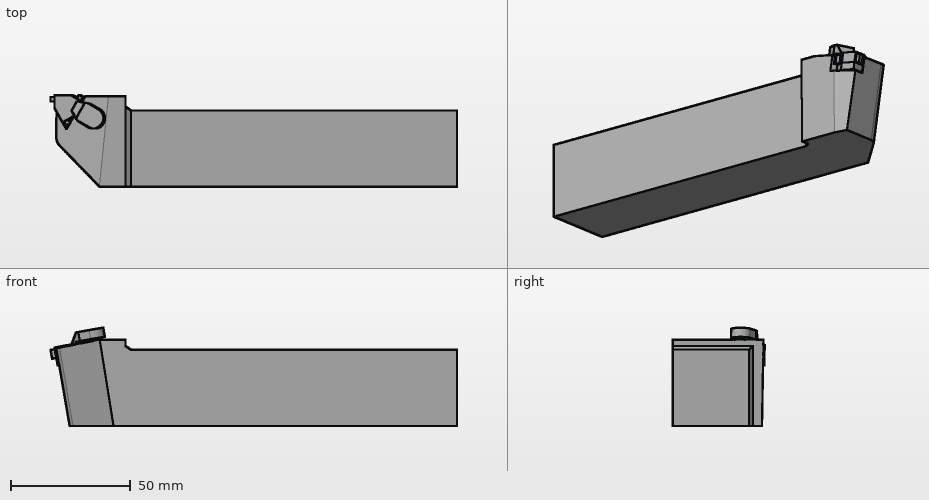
import cadquery as cq
import math


total_length = 170.0
shank_size = 32.0
head_top = 36.2
head_rear_x = 31.4
head_side_top_y = 38.0
head_side_bottom_y = 37.4
front_x_top = 1.8
front_x_bottom = 8.0
bevel_x_top = 20.6
bevel_x_bottom = 26.4
bevel_corner_radius = 5.0
neck_length = 2.3
neck_rise = 1.6
relief_start_x = 14.0
relief_depth = 0.9

insert_x = 6.635
insert_y = 33.66
insert_z = 33.75
rake_angle = 10.0
side_tilt_angle = 1.0

inscribed_radius = 4.76
insert_thickness = 4.4
corner_flat_distance = 5.05
nib_reach = 6.85
nib_outer_offset = 4.0
nib_inner_offset = 2.1
nib_drop = 0.6
corner_count = 3
first_corner_angle = 150.0

insert_stand_out = 0.57
shim_thickness = 3.1

clamp_angle = -30.0
clamp_offset = 1.8
clamp_height = 4.588
clamp_half_width = 4.35
nose_half_width = 2.3
nose_tip = 2.8
clamp_top_start = 6.8
nose_end = 8.3
clamp_side_end = 13.6
clamp_end = 17.4
underside_start = 5.5
underside_lift = 0.7
post_radius = 2.0
post_position = 14.2
post_depth = 2.0

cutter_size = 100.0

normal_x = -math.sin(math.radians(rake_angle))
normal_y = math.sin(math.radians(side_tilt_angle))
normal_z = math.sqrt(1 - normal_x**2 - normal_y**2)
insert_plane = cq.Plane(
    origin=(insert_x, insert_y, insert_z),
    xDir=(normal_z, 0, -normal_x),
    normal=(normal_x, normal_y, normal_z),
)
triangle_radius = 2 * inscribed_radius


def on_insert_plane(height=0.0):
    """Workplane parallel to the insert top, raised by height along its normal."""
    return cq.Workplane(insert_plane).workplane(offset=height)


def triangle_prism(top, thickness):
    """Triangle with one side facing +Y, extruded down from the given height."""
    corners = []
    for index in range(corner_count):
        angle = math.radians(first_corner_angle + index * 360 / corner_count)
        corners.append((triangle_radius * math.cos(angle), triangle_radius * math.sin(angle)))
    return on_insert_plane(top).polyline(corners).close().extrude(-thickness)


def cut_corner_prism(top, thickness):
    """Triangle prism with each corner cut off square to one of its sides."""
    prism = triangle_prism(top, thickness)
    for index in range(corner_count):
        corner = (
            on_insert_plane(top)
            .transformed(rotate=(0, 0, index * 360 / corner_count))
            .center(-corner_flat_distance - triangle_radius / 2, 0)
            .rect(triangle_radius, 2 * triangle_radius)
            .extrude(-thickness)
        )
        prism = prism.cut(corner)
    return prism


def make_insert():
    """Triangular insert with a narrow cutting nib on each cut-off corner."""
    insert = cut_corner_prism(0, insert_thickness)
    for index in range(corner_count):
        nib = (
            on_insert_plane(-nib_drop)
            .transformed(rotate=(0, 0, index * 360 / corner_count))
            .moveTo(-nib_reach, nib_inner_offset)
            .lineTo(-nib_reach, nib_outer_offset)
            .lineTo(0, nib_outer_offset)
            .lineTo(0, nib_inner_offset)
            .close()
            .extrude(nib_drop - insert_thickness)
        )
        insert = insert.union(nib)
    return insert


def head_outline(front_x, bevel_x, side_y):
    """Head section: straight front, 45 degree bevel, -Y side at Y = 0."""
    return [
        (front_x, side_y),
        (front_x, bevel_x - front_x),
        (bevel_x, 0),
        (head_rear_x, 0),
        (head_rear_x, side_y),
    ]


def make_head():
    """Head leaning forward to the top, with a rounded bevel and a tilted top face."""
    head = (
        cq.Workplane("XY")
        .polyline(head_outline(front_x_bottom, bevel_x_bottom, head_side_bottom_y)).close()
        .workplane(offset=head_top)
        .polyline(head_outline(front_x_top, bevel_x_top, head_side_top_y)).close()
        .loft(ruled=True)
    )
    corner_point = (
        (front_x_top + front_x_bottom) / 2,
        (bevel_x_top - front_x_top + bevel_x_bottom - front_x_bottom) / 2,
        head_top / 2,
    )
    head = head.edges(cq.selectors.NearestToPointSelector(corner_point)).fillet(bevel_corner_radius)

    relief_slope = relief_depth / (relief_start_x - front_x_bottom)
    relief_end_depth = relief_slope * relief_start_x

    def relief_outline(side_y):
        return [(relief_start_x, side_y), (0, side_y - relief_end_depth), (0, cutter_size),
                (relief_start_x, cutter_size)]

    relief = (
        cq.Workplane("XY")
        .polyline(relief_outline(head_side_bottom_y)).close()
        .workplane(offset=head_top)
        .polyline(relief_outline(head_side_top_y)).close()
        .loft(ruled=True)
    )
    above_top = on_insert_plane(-insert_stand_out).rect(cutter_size, cutter_size).extrude(cutter_size)
    return head.cut(relief).cut(above_top)


def make_shank():
    """Square bar with a sloped neck where it meets the head."""
    neck_size = shank_size + neck_rise
    neck = (
        cq.Workplane("YZ", origin=(head_rear_x, 0, 0))
        .center(neck_size / 2, neck_size / 2)
        .rect(neck_size, neck_size)
        .workplane(offset=neck_length)
        .center(-neck_rise / 2, -neck_rise / 2)
        .rect(shank_size, shank_size)
        .loft(ruled=True)
    )
    bar_start = head_rear_x + neck_length
    bar = cq.Workplane("XY", origin=(bar_start, 0, 0)).box(
        total_length - bar_start, shank_size, shank_size, centered=False
    )
    return bar.union(neck)


def clamp_workplane(height=0.0):
    """Workplane with X along the clamp, from nose to rear."""
    return on_insert_plane(height).transformed(rotate=(0, 0, clamp_angle)).center(0, clamp_offset)


def make_clamp():
    """Rounded clamp with a sloped nose, resting on the insert and on a post in the head."""
    block = (
        clamp_workplane()
        .moveTo(nose_tip, -nose_half_width)
        .lineTo(nose_end, -clamp_half_width)
        .lineTo(clamp_side_end, -clamp_half_width)
        .threePointArc((clamp_end, 0), (clamp_side_end, clamp_half_width))
        .lineTo(nose_end, clamp_half_width)
        .lineTo(nose_tip, nose_half_width)
        .close()
        .extrude(clamp_height)
    )
    nose_slope = (
        clamp_workplane()
        .transformed(rotate=(90, 0, 0))
        .moveTo(nose_tip, 0)
        .lineTo(clamp_top_start, clamp_height)
        .lineTo(nose_tip, clamp_height)
        .close()
        .extrude(clamp_half_width, both=True)
    )
    underside = (
        clamp_workplane()
        .moveTo((underside_start + clamp_end) / 2, 0)
        .rect(clamp_end - underside_start, 2 * clamp_half_width)
        .extrude(underside_lift)
    )
    post = clamp_workplane(-post_depth).center(post_position, 0).circle(post_radius).extrude(
        post_depth + clamp_height / 2
    )
    return block.cut(nose_slope).cut(underside).union(post)


def make_holder():
    """Head, shank and clamp in one piece, with a shim in the triangular insert seat."""
    seat = triangle_prism(0, insert_thickness + shim_thickness)
    shim = cut_corner_prism(-insert_thickness, shim_thickness)
    return make_head().union(make_shank()).cut(seat).union(shim).union(make_clamp())


insert = make_insert()
holder = make_holder().cut(insert)

result = cq.Compound.makeCompound([holder.solids().val(), insert.solids().val()])